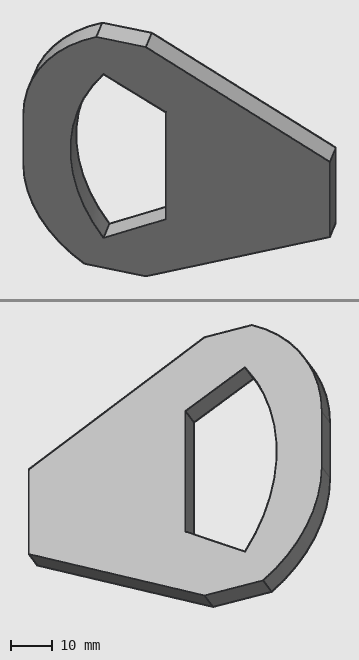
import cadquery as cq
import math

size = 76.2
thickness = 5.1
half_height = size / 2

corner_radius = 35.3
upper_arc_z = 7.25
lower_arc_z = -9.1
taper_start_x = 30.5
nose_half_height = 12.5

window_left_x = 20.0
window_right_x = 35.4
window_bow = 8.2
window_top_z = 26.1
window_bottom_z = -28.2
window_side_half_height = 17.75


def corner_point(x_angle, arc_z):
    """Point on a left corner arc at the given angle from +X."""
    return (
        corner_radius + corner_radius * math.cos(x_angle),
        arc_z + corner_radius * math.sin(x_angle),
    )


upper_end_angle = math.pi - math.asin((half_height - upper_arc_z) / corner_radius)
lower_end_angle = math.pi + math.asin((half_height + lower_arc_z) / corner_radius)
upper_mid_angle = (math.pi + upper_end_angle) / 2
lower_mid_angle = (math.pi + lower_end_angle) / 2


def make_plate():
    return (
        cq.Workplane("XZ")
        .moveTo(0, lower_arc_z)
        .lineTo(0, upper_arc_z)
        .threePointArc(
            corner_point(upper_mid_angle, upper_arc_z),
            corner_point(upper_end_angle, upper_arc_z),
        )
        .lineTo(taper_start_x, half_height)
        .lineTo(size, nose_half_height)
        .lineTo(size, -nose_half_height)
        .lineTo(taper_start_x, -half_height)
        .lineTo(*corner_point(lower_end_angle, lower_arc_z))
        .threePointArc(corner_point(lower_mid_angle, lower_arc_z), (0, lower_arc_z))
        .close()
        .extrude(thickness / 2, both=True)
    )


def make_window():
    bow_point = (window_left_x - window_bow, (window_top_z + window_bottom_z) / 2)
    return (
        cq.Workplane("XZ")
        .moveTo(window_left_x, window_bottom_z)
        .threePointArc(bow_point, (window_left_x, window_top_z))
        .lineTo(window_right_x, window_side_half_height)
        .lineTo(window_right_x, -window_side_half_height)
        .close()
        .extrude(thickness, both=True)
    )


result = make_plate().cut(make_window())